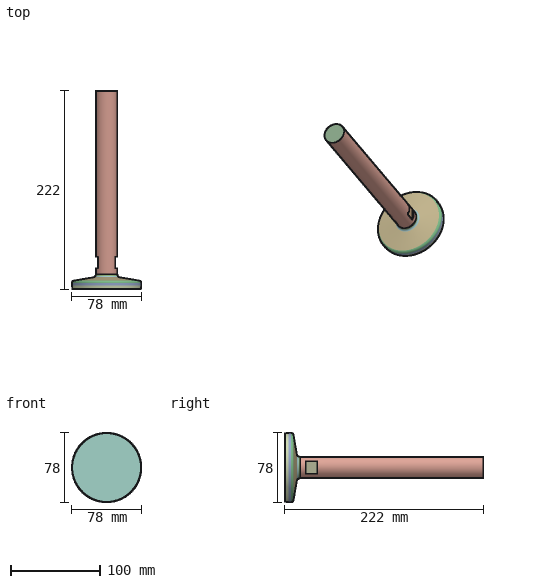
import cadquery as cq
import math

total_length = 222.0
foot_diameter = 78.0
stem_diameter = 24.0

base_radius = 38.5
edge_taper_height = 4.0
rim_top = 6.9
shoulder_radius = 2.9
cone_angle = 9.5

neck_top = 16.9
neck_taper_height = 2.0
neck_taper_angle = 21
neck_radius = 2.2

flat_start = 23.5
flat_length = 12.7
across_flats = 19.5

foot_radius = foot_diameter / 2
stem_radius = stem_diameter / 2
foot_front = -total_length / 2


def arc_point(center, radius, angle):
    """Point on a circle, with the angle in degrees from the radial direction."""
    turn = math.radians(angle)
    return (center[0] + radius * math.cos(turn), center[1] + radius * math.sin(turn))


def make_body():
    """Foot and stem revolved from a half profile of (radius, height)."""
    cone_normal = 90 - cone_angle
    shoulder_center = (foot_radius - shoulder_radius, rim_top)
    shoulder_middle = arc_point(shoulder_center, shoulder_radius, cone_normal / 2)
    shoulder_end = arc_point(shoulder_center, shoulder_radius, cone_normal)

    taper_end = (
        stem_radius + neck_taper_height * math.tan(math.radians(neck_taper_angle)),
        neck_top - neck_taper_height,
    )
    neck_center = arc_point(taper_end, neck_radius, neck_taper_angle)
    neck_start = arc_point(neck_center, neck_radius, cone_normal + 180)
    neck_middle = arc_point(neck_center, neck_radius, (cone_normal + neck_taper_angle) / 2 + 180)

    profile = (
        cq.Workplane("XY")
        .moveTo(0, 0)
        .lineTo(base_radius, 0)
        .lineTo(foot_radius, edge_taper_height)
        .lineTo(foot_radius, rim_top)
        .threePointArc(shoulder_middle, shoulder_end)
        .lineTo(*neck_start)
        .threePointArc(neck_middle, taper_end)
        .lineTo(stem_radius, neck_top)
        .lineTo(stem_radius, total_length)
        .lineTo(0, total_length)
        .close()
    )
    body = profile.revolve(360, (0, 0, 0), (0, 1, 0))
    return body.translate((0, foot_front, 0))


def make_flat_cutter(side):
    """Block that removes the stem beyond one wrench flat."""
    block = cq.Workplane("XY").box(stem_radius, flat_length, stem_diameter)
    offset = side * (across_flats + stem_radius) / 2
    return block.translate((offset, foot_front + flat_start + flat_length / 2, 0))


result = make_body()
for side in (-1, 1):
    result = result.cut(make_flat_cutter(side))